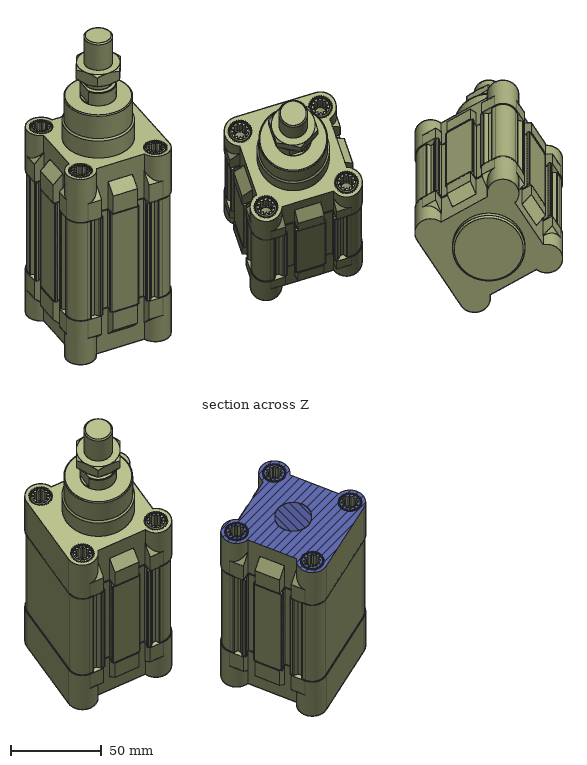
import cadquery as cq
import math

TOTAL_HEIGHT = 199
REAR_BOSS_HEIGHT = 4
CAP_TOP = 130.0
CAP_HEIGHT = 29.7
REAR_CAP_TOP = REAR_BOSS_HEIGHT + CAP_HEIGHT
FRONT_CAP_BOTTOM = CAP_TOP - CAP_HEIGHT

CAP_HALF_WIDTH = 32.0
CAP_WALL = 26.0
BOLT_OFFSET = 23.3
POST_RADIUS = CAP_HALF_WIDTH - BOLT_OFFSET
RIB_HALF_WIDTH = 7.5
WEB_INNER_EDGE = 14.7
RIB_STRAIGHT_HEIGHT = 12.3

BARREL_HALF_WIDTH = 31.5
BARREL_CORNER_RADIUS = BARREL_HALF_WIDTH - BOLT_OFFSET
SLOT_CENTRE = 11.1
MOUTH_HALF_WIDTH = 2.4
MOUTH_BEVEL = 0.5
MOUTH_BEVEL_DEPTH = 0.2
SLOT_HALF_WIDTH = 3.0
LIP_DEPTH = 1.5
SLOT_DEPTH = 4.8
GROOVE_INNER_EDGE = 15.3
GROOVE_OUTER_EDGE = 21.3
GROOVE_DEPTH = 2.2
GROOVE_RAMP = 1.8
GROOVE_STEEP_WIDTH = 1.2
GROOVE_BEVEL = 0.5
GROOVE_BEVEL_DEPTH = 0.2

BOSS_DIAMETER = 40.0
REAR_BOSS_CHAMFER = 1.0
LOWER_BOSS_HEIGHT = 12.5
UPPER_BOSS_DIAMETER = 38.0
UPPER_BOSS_HEIGHT = 15.7
UPPER_BOSS_CHAMFER = 0.5
BOSS_TOP = CAP_TOP + LOWER_BOSS_HEIGHT + UPPER_BOSS_HEIGHT

RECESS_TEETH = 32
RECESS_TIP_DIAMETER = 13.1
RECESS_ROOT_DIAMETER = 12
RECESS_DEPTH = 2
SCREW_HEAD_DIAMETER = 11.5
SCREW_HEAD_CHAMFER = 0.8
SOCKET_TEETH = 12
SOCKET_TIP_DIAMETER = 9.5
SOCKET_ROOT_DIAMETER = 6.5
SOCKET_DEPTH = 10
DRILL_POINT_ANGLE = 118

ROD_DIAMETER = 20.0
ROD_BOTTOM = FRONT_CAP_BOTTOM
SHOULDER_TOP = 167.0
SHOULDER_CHAMFER = 0.4
THREAD_DIAMETER = 16
THREAD_CHAMFER = 0.8
FLATS_WIDTH = 17.3
FLATS_CLEARANCE = 0.5
FLATS_BOTTOM = BOSS_TOP + FLATS_CLEARANCE

NUT_ACROSS_FLATS = 24.0
NUT_BOTTOM = 173.0
NUT_HEIGHT = 8
NUT_CHAMFER_ANGLE = 30
NUT_SIDES = 6

SLOTTED_SIDES = (-90, 0, 90)


def cylinder(diameter, bottom, height):
    return cq.Workplane("XY").workplane(offset=bottom).circle(diameter / 2).extrude(height)


def cap_block(half_width, centre):
    """Block on the -Y wall of the front cap, sloping back to the wall at 45 degrees."""
    depth = CAP_HALF_WIDTH - CAP_WALL
    slope_start = FRONT_CAP_BOTTOM + RIB_STRAIGHT_HEIGHT
    return (
        cq.Workplane("YZ")
        .workplane(offset=centre - half_width)
        .moveTo(-CAP_WALL, FRONT_CAP_BOTTOM)
        .lineTo(-CAP_HALF_WIDTH, FRONT_CAP_BOTTOM)
        .lineTo(-CAP_HALF_WIDTH, slope_start)
        .lineTo(-CAP_WALL, slope_start + depth)
        .close()
        .extrude(2 * half_width)
    )


def front_cap():
    """Recessed walls between round corner posts, with sloped blocks on every side but +Y."""
    base = cq.Workplane("XY").workplane(offset=FRONT_CAP_BOTTOM)
    cap = base.rect(2 * CAP_WALL, 2 * CAP_WALL).extrude(CAP_HEIGHT)
    plain_side = base.center(0, CAP_HALF_WIDTH / 2).rect(2 * BOLT_OFFSET, CAP_HALF_WIDTH)
    cap = cap.union(plain_side.extrude(CAP_HEIGHT))
    bolt_square = base.rect(2 * BOLT_OFFSET, 2 * BOLT_OFFSET, forConstruction=True)
    cap = cap.union(bolt_square.vertices().circle(POST_RADIUS).extrude(CAP_HEIGHT))
    web_half_width = (BOLT_OFFSET - WEB_INNER_EDGE) / 2
    web_centre = (BOLT_OFFSET + WEB_INNER_EDGE) / 2
    blocks = [cap_block(RIB_HALF_WIDTH, 0)]
    for side in (-1, 1):
        blocks.append(cap_block(web_half_width, side * web_centre))
    for turn in SLOTTED_SIDES:
        for block in blocks:
            cap = cap.union(block.rotate((0, 0, 0), (0, 0, 1), turn))
    return cap


def rear_cap():
    """The front cap mirrored about the middle of the barrel."""
    return front_cap().mirror("XY", (0, 0, (REAR_CAP_TOP + FRONT_CAP_BOTTOM) / 2))


def slot_outline(side):
    """T-slot in the -Y face, on one side of the centre line."""
    face = -BARREL_HALF_WIDTH
    half = [
        (MOUTH_HALF_WIDTH + MOUTH_BEVEL, face),
        (MOUTH_HALF_WIDTH, face + MOUTH_BEVEL_DEPTH),
        (MOUTH_HALF_WIDTH, face + LIP_DEPTH),
        (SLOT_HALF_WIDTH, face + LIP_DEPTH),
        (SLOT_HALF_WIDTH, face + SLOT_DEPTH),
    ]
    points = half + [(-x, y) for x, y in reversed(half)]
    return [(side * SLOT_CENTRE + x, y) for x, y in points]


def groove_outline(side):
    """Shallow groove with a steep outer wall and a 45 degree inner wall."""
    face = -BARREL_HALF_WIDTH
    bevel_bottom = face + GROOVE_BEVEL_DEPTH
    ramp_start = GROOVE_INNER_EDGE + GROOVE_BEVEL
    steep_start = GROOVE_OUTER_EDGE - GROOVE_BEVEL
    points = [
        (GROOVE_INNER_EDGE, face),
        (ramp_start, bevel_bottom),
        (ramp_start + GROOVE_RAMP, bevel_bottom + GROOVE_RAMP),
        (steep_start - GROOVE_STEEP_WIDTH, face + GROOVE_DEPTH),
        (steep_start, bevel_bottom),
        (GROOVE_OUTER_EDGE, face),
    ]
    return [(side * x, y) for x, y in points]


def barrel():
    """Rounded square profile with two T-slots and two corner grooves per slotted side."""
    length = FRONT_CAP_BOTTOM - REAR_CAP_TOP
    base = cq.Workplane("XY").workplane(offset=REAR_CAP_TOP)
    tube = base.rect(2 * BARREL_HALF_WIDTH, 2 * BARREL_HALF_WIDTH).extrude(length)
    tube = tube.edges("|Z").fillet(BARREL_CORNER_RADIUS)
    for side in (-1, 1):
        for outline in (slot_outline(side), groove_outline(side)):
            channel = base.polyline(outline).close().extrude(length)
            for turn in SLOTTED_SIDES:
                tube = tube.cut(channel.rotate((0, 0, 0), (0, 0, 1), turn))
    return tube


def serration(teeth, tip_diameter, root_diameter, bottom, height):
    """Prism with pointed teeth, their tips outwards."""
    points = []
    for step in range(2 * teeth):
        radius = (root_diameter if step % 2 else tip_diameter) / 2
        angle = math.pi * step / teeth
        points.append((radius * math.cos(angle), radius * math.sin(angle)))
    return cq.Workplane("XY").workplane(offset=bottom).polyline(points).close().extrude(height)


def screw_cavity():
    """Space above and inside one cap screw: a serrated recess, the socket and its drill point."""
    recess_bottom = CAP_TOP - RECESS_DEPTH
    recess = serration(
        RECESS_TEETH, RECESS_TIP_DIAMETER, RECESS_ROOT_DIAMETER, recess_bottom, RECESS_DEPTH
    )
    head = cylinder(SCREW_HEAD_DIAMETER, recess_bottom, RECESS_DEPTH)
    recess = recess.cut(head.faces(">Z").chamfer(SCREW_HEAD_CHAMFER))
    socket_bottom = CAP_TOP - SOCKET_DEPTH
    socket = serration(
        SOCKET_TEETH, SOCKET_TIP_DIAMETER, SOCKET_ROOT_DIAMETER, socket_bottom, SOCKET_DEPTH
    )
    drill_radius = SOCKET_ROOT_DIAMETER / 2
    point_depth = drill_radius / math.tan(math.radians(DRILL_POINT_ANGLE / 2))
    point = cq.Solid.makeCone(0, drill_radius, point_depth, pnt=(0, 0, socket_bottom - point_depth))
    return recess.union(socket).union(cq.Workplane(point))


def make_housing():
    """Barrel, both end caps, the bosses and the cap screws in one solid, bored for the rod."""
    housing = front_cap().union(barrel()).union(rear_cap())
    housing = housing.union(
        cylinder(BOSS_DIAMETER, 0, REAR_BOSS_HEIGHT).faces("<Z").chamfer(REAR_BOSS_CHAMFER)
    )
    step = (BOSS_DIAMETER - UPPER_BOSS_DIAMETER) / 2
    lower_boss = cylinder(BOSS_DIAMETER, CAP_TOP, LOWER_BOSS_HEIGHT).faces(">Z").chamfer(step)
    upper_boss = cylinder(UPPER_BOSS_DIAMETER, CAP_TOP, BOSS_TOP - CAP_TOP)
    upper_boss = upper_boss.faces(">Z").chamfer(UPPER_BOSS_CHAMFER)
    housing = housing.union(lower_boss).union(upper_boss)
    cavity = screw_cavity()
    for x in (-BOLT_OFFSET, BOLT_OFFSET):
        for y in (-BOLT_OFFSET, BOLT_OFFSET):
            housing = housing.cut(cavity.translate((x, y, 0)))
    return housing.cut(cylinder(ROD_DIAMETER, ROD_BOTTOM, BOSS_TOP - ROD_BOTTOM))


def make_rod():
    """Rod seated in the front cap, with two wrench flats and a threaded end."""
    shank = cylinder(ROD_DIAMETER, ROD_BOTTOM, SHOULDER_TOP - ROD_BOTTOM)
    shank = shank.faces(">Z").chamfer(SHOULDER_CHAMFER)
    thread = cylinder(THREAD_DIAMETER, SHOULDER_TOP, TOTAL_HEIGHT - SHOULDER_TOP)
    rod = shank.union(thread.faces("<Z or >Z").chamfer(THREAD_CHAMFER))
    flat_depth = (ROD_DIAMETER - FLATS_WIDTH) / 2
    for side in (-1, 1):
        flat = cq.Workplane("XY").box(
            ROD_DIAMETER, flat_depth, SHOULDER_TOP - FLATS_BOTTOM, centered=(True, True, False)
        )
        rod = rod.cut(flat.translate((0, side * (FLATS_WIDTH + flat_depth) / 2, FLATS_BOTTOM)))
    return rod


def make_nut():
    """Hexagon nut with two flats facing -X and +X and conically bevelled corners."""
    half_side_angle = 180 / NUT_SIDES
    across_corners = NUT_ACROSS_FLATS / math.cos(math.radians(half_side_angle))
    blank = cq.Workplane("XY").workplane(offset=NUT_BOTTOM)
    hexagon = blank.polygon(NUT_SIDES, across_corners).extrude(NUT_HEIGHT)
    hexagon = hexagon.rotate((0, 0, 0), (0, 0, 1), half_side_angle)
    corner = (across_corners - NUT_ACROSS_FLATS) / 2
    drop = corner * math.tan(math.radians(NUT_CHAMFER_ANGLE))
    envelope = cylinder(across_corners, NUT_BOTTOM, NUT_HEIGHT)
    envelope = envelope.faces(">Z").chamfer(drop, corner).faces("<Z").chamfer(drop, corner)
    return hexagon.intersect(envelope).cut(cylinder(THREAD_DIAMETER, NUT_BOTTOM, NUT_HEIGHT))


housing = make_housing()
rod = make_rod()
nut = make_nut()
bodies = [body.solids().val() for body in (housing, rod, nut)]
result = cq.Compound.makeCompound(bodies)